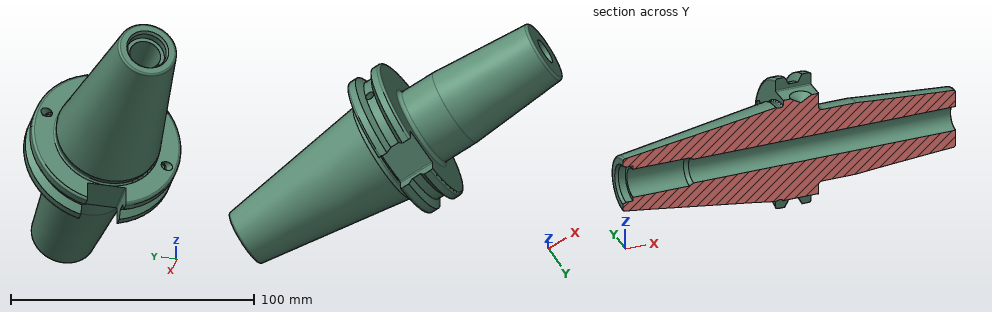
import cadquery as cq
import math


total_length = 148.2
gauge_x = 68.0
gauge_radius = 22.2
taper_slope = 7 / 48
shank_end_radius = gauge_radius - taper_slope * gauge_x
shank_end_fillet = 0.9
neck_radius = 43.6 / 2
neck_start_x = 69.7
neck_root_fillet = 0.7

flange_start_x = 71.3
flange_width = 15.9
flange_end_x = flange_start_x + flange_width
flange_radius = 63.3 / 2
rim_fillet = 1.0

groove_center_x = 79.3
groove_floor_width = 3.9
groove_floor_radius = 28.3
groove_half_angle = math.radians(30)

nose_radius = 34.0 / 2
nose_root_fillet = 1.6
nose_cone_start_x = 103.8
nose_tip_radius = 13.5
nose_tip_fillet = 1.2

bore_mouth_radius = 8.9
pilot_radius = 16.3 / 2
pilot_depth = 4.5
thread_bore_radius = 13.0 / 2
thread_bore_end_x = 29.6
through_radius = 11.0 / 2
bore_cone_angle = math.radians(30)

slot_width = 16.3
slot_corner_fillet = 0.5
upper_slot_floor = 24.9
lower_slot_floor = 22.5
dimple_diameter = 9.5
dimple_point_angle = math.radians(120)

coolant_angles = (20, 200)
coolant_mouth_radius = 27.1
coolant_tilt = math.radians(35)
coolant_counterbore_diameter = 4.0
coolant_counterbore_depth = 2.5
coolant_hole_diameter = 2.5
cross_hole_diameter = 4.0


def revolve_about_x(points):
    """Revolve a closed outline of (x, radius) points about the X axis."""
    return cq.Workplane("XY").polyline(points).close().revolve(360, (0, 0, 0), (1, 0, 0))


def make_shank():
    shank = revolve_about_x([
        (0, 0),
        (0, shank_end_radius),
        (gauge_x, gauge_radius),
        (neck_start_x, neck_radius),
        (flange_start_x, neck_radius),
        (flange_start_x, 0),
    ])
    return shank.faces("<X").edges().fillet(shank_end_fillet)


def make_flange():
    groove_rise = (flange_radius - groove_floor_radius) * math.tan(groove_half_angle)
    floor_half = groove_floor_width / 2
    rim_half = floor_half + groove_rise
    flange = revolve_about_x([
        (flange_start_x, 0),
        (flange_start_x, flange_radius),
        (groove_center_x - rim_half, flange_radius),
        (groove_center_x - floor_half, groove_floor_radius),
        (groove_center_x + floor_half, groove_floor_radius),
        (groove_center_x + rim_half, flange_radius),
        (flange_end_x, flange_radius),
        (flange_end_x, 0),
    ])
    return flange.faces("<X or >X").edges().fillet(rim_fillet)


def make_nose():
    nose = revolve_about_x([
        (flange_end_x, 0),
        (flange_end_x, nose_radius),
        (nose_cone_start_x, nose_radius),
        (total_length, nose_tip_radius),
        (total_length, 0),
    ])
    return nose.faces(">X").edges().fillet(nose_tip_fillet)


def fillet_root(body, root_x, radius, fillet):
    """Round the inside corner where a shaft of the given radius meets the flange."""
    margin = fillet / 2
    corner = cq.selectors.BoxSelector(
        (root_x - margin, -radius - margin, -radius - margin),
        (root_x + margin, radius + margin, radius + margin),
        boundingbox=True,
    )
    return body.edges(corner).fillet(fillet)


def make_body():
    body = make_shank().union(make_flange()).union(make_nose())
    body = fillet_root(body, flange_start_x, neck_radius, neck_root_fillet)
    return fillet_root(body, flange_end_x, nose_radius, nose_root_fillet)


def make_bore():
    mouth_depth = (bore_mouth_radius - pilot_radius) / math.tan(bore_cone_angle)
    cone_length = (thread_bore_radius - through_radius) / math.tan(bore_cone_angle)
    return revolve_about_x([
        (0, 0),
        (0, bore_mouth_radius),
        (mouth_depth, pilot_radius),
        (pilot_depth, pilot_radius),
        (pilot_depth, thread_bore_radius),
        (thread_bore_end_x, thread_bore_radius),
        (thread_bore_end_x + cone_length, through_radius),
        (total_length, through_radius),
        (total_length, 0),
    ])


def make_slot(floor_distance, side):
    """Drive slot across the flange; side is +1 for the top and -1 for the bottom."""
    height = flange_radius - floor_distance
    center = (flange_start_x + flange_width / 2, 0, side * (floor_distance + height / 2))
    slot = cq.Workplane("XY").box(flange_width, slot_width, height).translate(center)
    floor = "<Z" if side > 0 else ">Z"
    return slot.faces(floor).edges("|X").fillet(slot_corner_fillet)


def make_dimple():
    """Conical drill point in the floor of the upper slot."""
    radius = dimple_diameter / 2
    depth = radius / math.tan(dimple_point_angle / 2)
    top = cq.Vector(groove_center_x, 0, upper_slot_floor)
    return cq.Workplane(cq.Solid.makeCone(radius, 0, depth, top, cq.Vector(0, 0, -1)))


def cylinder(diameter, length, start, direction):
    return cq.Workplane(cq.Solid.makeCylinder(diameter / 2, length, start, direction))


def make_coolant_channel(angle):
    """Tilted, counterbored face hole meeting a radial hole in the groove floor."""
    mouth = cq.Vector(flange_start_x, coolant_mouth_radius, 0)
    inward = cq.Vector(math.cos(coolant_tilt), -math.sin(coolant_tilt), 0)
    length = (groove_center_x - flange_start_x) / math.cos(coolant_tilt)
    meeting = mouth + inward * length
    lead_in = coolant_counterbore_diameter
    outside = mouth - inward * lead_in
    counterbore = cylinder(
        coolant_counterbore_diameter, lead_in + coolant_counterbore_depth, outside, inward
    )
    face_hole = cylinder(coolant_hole_diameter, length, mouth, inward)
    cross_length = flange_radius - meeting.y
    cross_hole = cylinder(cross_hole_diameter, cross_length, meeting, cq.Vector(0, 1, 0))
    channel = counterbore.union(face_hole).union(cross_hole)
    return channel.rotate((0, 0, 0), (1, 0, 0), angle)


result = make_body().cut(make_bore())
result = result.cut(make_slot(upper_slot_floor, 1)).cut(make_slot(lower_slot_floor, -1))
result = result.cut(make_dimple())
for coolant_angle in coolant_angles:
    result = result.cut(make_coolant_channel(coolant_angle))